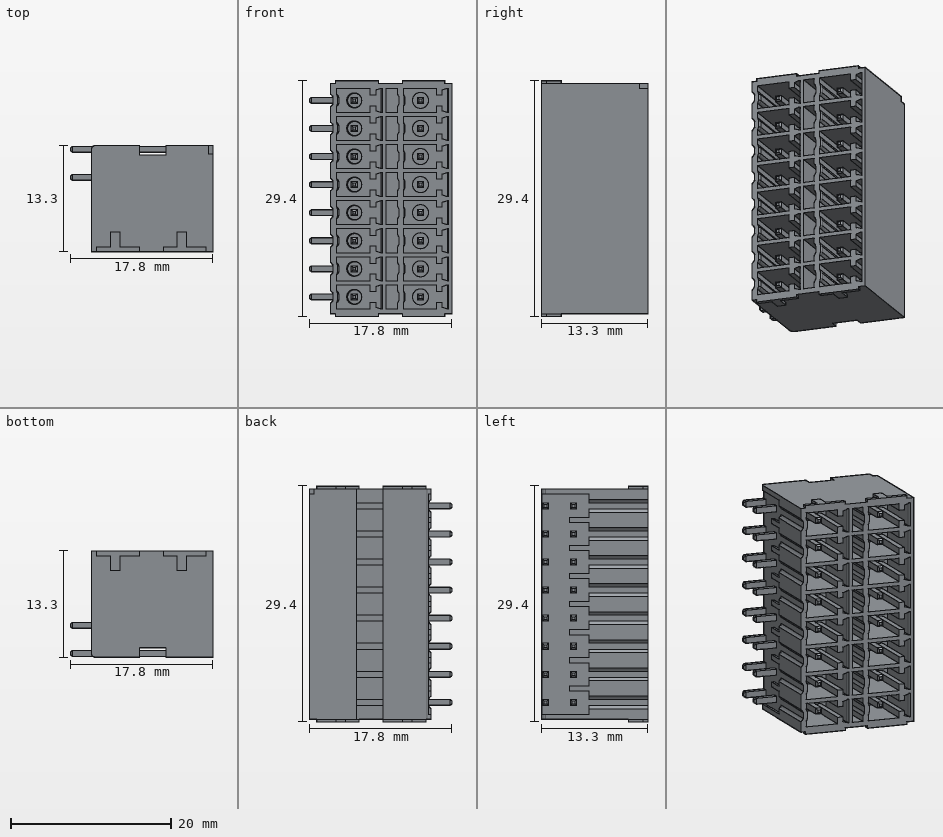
import cadquery as cq
import math


rows = 8
row_pitch = 3.5
column_pitch = 8.25
right_column_trim = 0.1
body_width = 15.17
body_depth = 13.3
overall_height = 29.4
body_height = 28.75
corner_radius = 0.53

chamber_depth = 7.38
chamber_height = 3.0
chamber_left = 0.74
slot_left = 4.95
neck_height = 1.35
neck_width = 0.74
head_width = 0.65
head_entry_height = 2.6
lead_in_width = 0.15
lead_in_depth = 0.53

middle_left = 6.95
middle_width = 1.4
middle_height = 3.0

groove_width = 1.6
groove_floor_width = 0.75
outer_groove_depth = 0.32
middle_groove_depth = 0.2
ridge_lead_in = 0.45
ridge_mouth_ratio = 0.5

end_plate = 0.65
tongue_height = 0.65
tongue_end = 9.75

rear_notch_left = 6.0
rear_notch_width = 3.3
rear_notch_depth = 1.2
corner_notch_width = 0.6
corner_notch_depth = 1.05

rib_left = 0.62
rib_right = 6.0
rib_bar_depth = 0.65
rib_stem_width = 1.18
rib_stem_depth = 2.47
rib_stem_left = 2.4

pin_size = 0.75
pin_tip_length = 0.24
pin_tip_inset = 0.2
pin_overhang = 2.62
pin_x = 2.97
pin_tip_y = 1.23
inner_pin_y = 9.3
outer_pin_y = inner_pin_y + row_pitch
left_collar_radius = 0.95
right_collar_radius = 1.0
left_collar_draft = 0.05
collar_depth = 0.3

row_heights = [(row - (rows - 1) / 2) * row_pitch for row in range(rows)]


def block(x, y, z_center, width, depth, height):
    """Box placed by its low X and Y sides and its mid-height."""
    box = cq.Workplane("XY").box(width, depth, height, centered=(False, False, True))
    return box.translate((x, y, z_center))


def facing_back(y=0.0):
    """XZ sketch plane at depth y whose extrusions run toward +Y, with local axes (X, -Z)."""
    return cq.Workplane(cq.Plane(origin=(0, y, 0), xDir=(1, 0, 0), normal=(0, 1, 0)))


def on_every_row(shape):
    """One compound holding a copy of the shape on each row."""
    copies = [shape.val().translate(cq.Vector(0, 0, z)) for z in row_heights]
    return cq.Workplane(cq.Compound.makeCompound(copies))


def groove_outline(plane, x, depth):
    """Flat-bottomed outline with rounded flanks, as deep as given along +X from x."""
    edge = groove_width / 2
    floor = groove_floor_width / 2
    arc_center = (depth**2 + floor**2 - edge**2) / (2 * depth)
    radius = math.hypot(edge, arc_center)
    flank_z = (edge + floor) / 2
    flank_x = x + arc_center + math.sqrt(radius**2 - flank_z**2)
    return (
        plane.moveTo(x, -edge)
        .threePointArc((flank_x, -flank_z), (x + depth, -floor))
        .lineTo(x + depth, floor)
        .threePointArc((flank_x, flank_z), (x, edge))
        .close()
    )


def groove(x, depth):
    """Coding groove as long as the chambers are deep."""
    return groove_outline(facing_back(), x, depth).extrude(chamber_depth)


def ridge(x, depth):
    """Coding ridge that grows from the mouth to its full section."""
    mouth = groove_outline(facing_back(), x, ridge_mouth_ratio * depth).wires().val()
    full = groove_outline(facing_back(ridge_lead_in), x, depth).wires().val()
    lead_in = cq.Workplane(cq.Solid.makeLoft([mouth, full], True))
    straight = groove_outline(facing_back(ridge_lead_in), x, depth).extrude(chamber_depth - ridge_lead_in)
    return lead_in.union(straight)


def chamber(left, ridge_depth):
    """Chamber with a T-shaped latch slot, less the coding ridge on its left wall."""
    head_x = slot_left + neck_width
    wall_x = head_x + head_width
    half = chamber_height / 2
    neck = neck_height / 2
    upper = [
        (left, half),
        (slot_left, half),
        (slot_left, neck),
        (head_x, neck),
        (head_x, head_entry_height / 2),
        (wall_x, half),
    ]
    lower = [(x, -z) for x, z in reversed(upper)]
    outline = facing_back().polyline(upper + lower).close().extrude(chamber_depth)
    lead_in = (
        cq.Workplane("XY")
        .polyline([(wall_x, 0), (wall_x + lead_in_width, 0), (wall_x, lead_in_depth)])
        .close()
        .extrude(half, both=True)
    )
    return outline.union(lead_in).cut(ridge(left, ridge_depth))


def collar(radius, draft):
    """Round recess in the chamber floor, drafted on its low-X side and upright on its high-X side."""
    rim = facing_back(chamber_depth).center(pin_x, 0).circle(radius)
    bottom = rim.workplane(offset=collar_depth).center(draft, 0).circle(radius - draft)
    return bottom.loft(ruled=True)


def pointed_pin(length):
    """Square pin along +Z with its tapered tip at Z = 0."""
    taper = math.degrees(math.atan(pin_tip_inset / pin_tip_length))
    tip = cq.Workplane("XY").rect(pin_size, pin_size).extrude(pin_tip_length, taper=taper)
    tip = tip.mirror("XY").translate((0, 0, pin_tip_length))
    shank = cq.Workplane("XY", origin=(0, 0, pin_tip_length)).rect(pin_size, pin_size)
    return tip.union(shank.extrude(length - pin_tip_length))


def contact(x, y):
    """Right-angled contact with its corner at (x, y)."""
    reach = pin_size / 2
    mating = pointed_pin(y + reach - pin_tip_y).rotate((0, 0, 0), (1, 0, 0), -90)
    solder = pointed_pin(x + reach + pin_overhang).rotate((0, 0, 0), (0, 1, 0), 90)
    return mating.translate((x, pin_tip_y, 0)).union(solder.translate((-pin_overhang, y, 0)))


def solder_side_recess():
    """Recess of the solder side between the end plates, less the tongues between the rows."""
    depth = body_depth - chamber_depth
    recess = block(0, chamber_depth, 0, outer_groove_depth, depth, body_height - 2 * end_plate)
    tongue_length = tongue_end - chamber_depth
    for z in row_heights[:-1]:
        tongue_z = z + row_pitch / 2
        tongue = block(0, chamber_depth, tongue_z, outer_groove_depth, tongue_length, tongue_height)
        recess = recess.cut(tongue)
    return recess


def end_rib(left):
    """T-shaped rib standing out of both end faces."""
    bar = block(left, 0, 0, rib_right - left, rib_bar_depth, overall_height)
    stem = block(rib_stem_left, 0, 0, rib_stem_width, rib_stem_depth, overall_height)
    return bar.union(stem)


body = block(0, 0, 0, body_width, body_depth, body_height)
body = body.edges("|Z and <X and >Y").fillet(corner_radius)
body = body.union(end_rib(rib_left))
body = body.union(end_rib(rib_left + right_column_trim).translate((column_pitch, 0, 0)))

left_chamber = chamber(chamber_left, outer_groove_depth)
left_chamber = left_chamber.union(collar(left_collar_radius, left_collar_draft))
right_chamber = chamber(chamber_left + right_column_trim, middle_groove_depth)
right_chamber = right_chamber.union(collar(right_collar_radius, 0))
body = body.cut(on_every_row(left_chamber))
body = body.cut(on_every_row(right_chamber.translate((column_pitch, 0, 0))))
middle = block(middle_left, 0, 0, middle_width, chamber_depth, middle_height)
middle = middle.union(groove(middle_left + middle_width, middle_groove_depth))
body = body.cut(on_every_row(middle))
body = body.cut(on_every_row(groove(0, outer_groove_depth)))

body = body.cut(solder_side_recess())
rear_notch_y = body_depth - rear_notch_depth
body = body.cut(block(rear_notch_left, rear_notch_y, 0, rear_notch_width, rear_notch_depth, body_height))
corner_notch_x = body_width - corner_notch_width
corner_notch_y = body_depth - corner_notch_depth
corner_notch_z = (body_height - end_plate) / 2
corner_notch = block(
    corner_notch_x, corner_notch_y, corner_notch_z, corner_notch_width, corner_notch_depth, end_plate
)
body = body.cut(corner_notch)

body = body.union(on_every_row(contact(pin_x, inner_pin_y)))
result = body.union(on_every_row(contact(pin_x + column_pitch, outer_pin_y)))